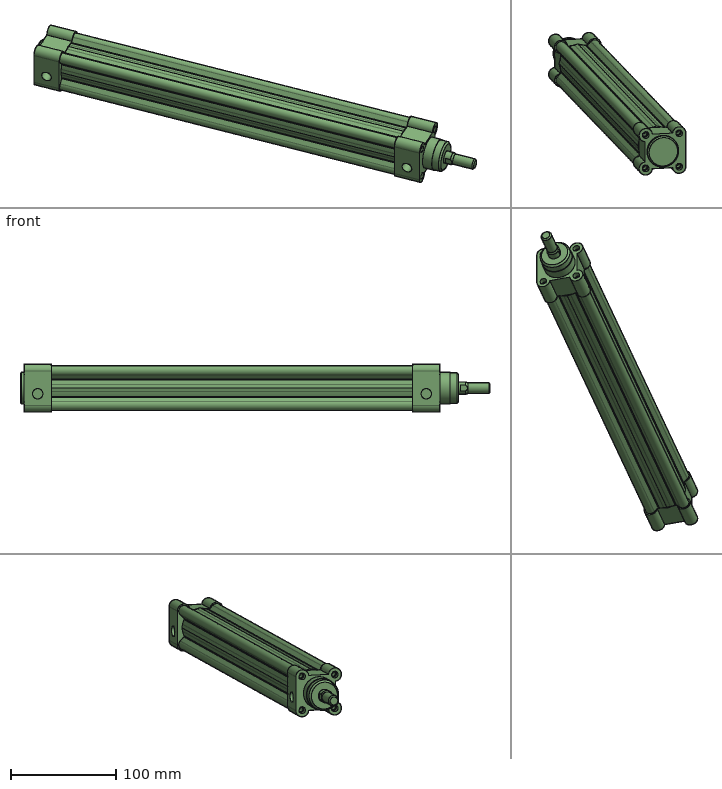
import cadquery as cq
import math


OVERALL_LENGTH = 446.0
BOSS_LENGTH = 3.5
CAP_LENGTH = 26.0
FRONT_CAP_X = 372.5
COLLAR_STEP_LENGTH = 9.5
COLLAR_LENGTH = 18.0
ROD_SHOULDER_X = 425.0
REAR_CAP_X = BOSS_LENGTH
TUBE_X = REAR_CAP_X + CAP_LENGTH
FRONT_FACE_X = FRONT_CAP_X + CAP_LENGTH

CAP_WIDTH = 45.5
LOBE_SPACING = 32.5
LOBE_CENTER = LOBE_SPACING / 2
LOBE_RADIUS = CAP_WIDTH / 2 - LOBE_CENTER
RECESS_HALF_WIDTH = 17.0
SCREW_HEAD_RADIUS = 3.0
SCREW_HEAD_DEPTH = 5.5
SCREW_HOLE_RADIUS = 2.2
SCREW_HOLE_DEPTH = 13.5
PORT_RADIUS = 5.0
PORT_DEPTH = 11.0
PORT_Z = -5.5

BOSS_RADIUS = 15.0
BOSS_CHAMFER = 1.5
COLLAR_RADIUS = 15.0
COLLAR_NOSE_RADIUS = 14.5
COLLAR_CHAMFER = 2.0

TUBE_WIDTH = 43.0
TUBE_LOBE_RADIUS = TUBE_WIDTH / 2 - LOBE_CENTER
TUBE_LOBE_DIAGONAL = TUBE_LOBE_RADIUS * math.sqrt(0.5)
RIDGE_HEIGHT = 18.5
RIDGE_SLOPE = math.radians(12.5)
RIDGE_FLAT_HALF_WIDTH = 3.35
RIDGE_FOOT_SLOPE = math.radians(22)
RIDGE_WIDTH = 15.5
RIDGE_HALF_WIDTH = RIDGE_WIDTH / 2

ROD_DIAMETER = 12.0
ROD_RADIUS = ROD_DIAMETER / 2
ROD_CHAMFER_LENGTH = 2.2
WRENCH_WIDTH = 10.5
FLAT_HALF_WIDTH = WRENCH_WIDTH / 2
FLAT_GAP = 2.0
FLAT_START_X = FRONT_FACE_X + COLLAR_LENGTH + FLAT_GAP
THREAD_DIAMETER = 10.3
THREAD_RADIUS = THREAD_DIAMETER / 2
THREAD_CHAMFER = 1.5


def corner_points(spacing):
    half = spacing / 2
    return [(y, z) for y in (-half, half) for z in (-half, half)]


def section_plane(x):
    """Plane across the axis: local x is Y, local y is Z, extrusion goes toward +X."""
    return cq.Workplane("YZ", origin=(x, 0, 0))


def cap_block(x):
    """Four round corner lobes, a recessed core and a flat face on the -Y side."""
    lobes = section_plane(x).pushPoints(corner_points(LOBE_SPACING)).circle(LOBE_RADIUS).extrude(CAP_LENGTH)
    core = section_plane(x).rect(2 * RECESS_HALF_WIDTH, 2 * RECESS_HALF_WIDTH).extrude(CAP_LENGTH)
    flat_side = (
        section_plane(x)
        .center(-(CAP_WIDTH - LOBE_RADIUS) / 2, 0)
        .rect(LOBE_RADIUS, LOBE_SPACING)
        .extrude(CAP_LENGTH)
    )
    return core.union(lobes).union(flat_side)


def cut_port(cap, x):
    """Blind air port in the middle of the flat -Y face."""
    port = (
        cq.Workplane("XZ", origin=(x + CAP_LENGTH / 2, -CAP_WIDTH / 2, PORT_Z))
        .circle(PORT_RADIUS)
        .extrude(-PORT_DEPTH)
    )
    return cap.cut(port)


def cut_screw_holes(cap, face_x, inward):
    """Stepped blind screw holes in the four lobes; inward is the X direction into the cap."""
    points = corner_points(LOBE_SPACING)
    steps = [(SCREW_HEAD_RADIUS, SCREW_HEAD_DEPTH), (SCREW_HOLE_RADIUS, SCREW_HOLE_DEPTH)]
    for radius, depth in steps:
        cap = cap.cut(section_plane(face_x).pushPoints(points).circle(radius).extrude(inward * depth))
    return cap


def make_rear_cap():
    boss = section_plane(0).circle(BOSS_RADIUS).extrude(BOSS_LENGTH).faces("<X").chamfer(BOSS_CHAMFER)
    cap = cut_port(cap_block(REAR_CAP_X), REAR_CAP_X).union(boss)
    return cut_screw_holes(cap, REAR_CAP_X, 1)


def make_front_cap():
    collar = section_plane(FRONT_FACE_X).circle(COLLAR_RADIUS).extrude(COLLAR_STEP_LENGTH)
    nose = (
        section_plane(FRONT_FACE_X)
        .circle(COLLAR_NOSE_RADIUS)
        .extrude(COLLAR_LENGTH)
        .faces(">X")
        .chamfer(COLLAR_CHAMFER)
    )
    rod_hole = section_plane(FRONT_CAP_X).circle(ROD_RADIUS).extrude(CAP_LENGTH + COLLAR_LENGTH)
    cap = cut_port(cap_block(FRONT_CAP_X), FRONT_CAP_X).union(collar).union(nose)
    return cut_screw_holes(cap, FRONT_FACE_X, -1).cut(rod_hole)


def ridge_arc_point(slope):
    """Point (across, outward) on the rounded ridge side where it has the given slope."""
    arc_width = RIDGE_HALF_WIDTH - RIDGE_FLAT_HALF_WIDTH
    arc_radius = arc_width / (math.sin(RIDGE_FOOT_SLOPE) - math.sin(RIDGE_SLOPE))
    arc_start_height = RIDGE_HEIGHT - RIDGE_FLAT_HALF_WIDTH * math.tan(RIDGE_SLOPE)
    across = RIDGE_FLAT_HALF_WIDTH + arc_radius * (math.sin(slope) - math.sin(RIDGE_SLOPE))
    outward = arc_start_height + arc_radius * (math.cos(slope) - math.cos(RIDGE_SLOPE))
    return across, outward


def turned(point, quarter):
    """The point turned clockwise about the axis by a number of quarter turns."""
    y, z = point
    for _ in range(quarter):
        y, z = z, -y
    return y, z


def make_tube():
    """Four equal sides, each a shallow ridge between 45-degree flanks, joined by round lobes."""
    flat_end = ridge_arc_point(RIDGE_SLOPE)
    arc_middle = ridge_arc_point((RIDGE_SLOPE + RIDGE_FOOT_SLOPE) / 2)
    foot = ridge_arc_point(RIDGE_FOOT_SLOPE)
    tangent = (LOBE_CENTER - TUBE_LOBE_DIAGONAL, LOBE_CENTER + TUBE_LOBE_DIAGONAL)
    lobe_tip = (LOBE_CENTER + TUBE_LOBE_DIAGONAL, LOBE_CENTER + TUBE_LOBE_DIAGONAL)
    valley = (tangent[0] - (tangent[1] - foot[1]), foot[1])

    outline = section_plane(TUBE_X).moveTo(0, RIDGE_HEIGHT)
    for quarter in range(4):
        outline = (
            outline.lineTo(*turned(flat_end, quarter))
            .threePointArc(turned(arc_middle, quarter), turned(foot, quarter))
            .lineTo(*turned(valley, quarter))
            .lineTo(*turned(tangent, quarter))
            .threePointArc(turned(lobe_tip, quarter), turned(tangent[::-1], quarter))
            .lineTo(*turned(valley[::-1], quarter))
            .lineTo(*turned(foot[::-1], quarter))
            .threePointArc(turned(arc_middle[::-1], quarter), turned(flat_end[::-1], quarter))
            .lineTo(*turned((RIDGE_HEIGHT, 0), quarter))
        )
    return outline.close().extrude(FRONT_CAP_X - TUBE_X)


def make_rod():
    """Rod from the tube face through the front cap, with wrench flats and a threaded end."""
    shaft = (
        section_plane(FRONT_CAP_X)
        .circle(ROD_RADIUS)
        .extrude(ROD_SHOULDER_X - FRONT_CAP_X)
        .faces(">X")
        .chamfer(ROD_CHAMFER_LENGTH, ROD_RADIUS - THREAD_RADIUS)
    )
    flat_length = ROD_SHOULDER_X - FLAT_START_X
    for side in (-1, 1):
        waste = cq.Workplane().box(flat_length, ROD_RADIUS, 2 * ROD_RADIUS).translate(
            (FLAT_START_X + flat_length / 2, side * (FLAT_HALF_WIDTH + ROD_RADIUS / 2), 0)
        )
        shaft = shaft.cut(waste)
    thread = (
        section_plane(ROD_SHOULDER_X)
        .circle(THREAD_RADIUS)
        .extrude(OVERALL_LENGTH - ROD_SHOULDER_X)
        .faces(">X")
        .chamfer(THREAD_CHAMFER)
    )
    return shaft.union(thread)


rear_cap = make_rear_cap()
tube = make_tube()
front_cap = make_front_cap()
rod = make_rod()

result = cq.Compound.makeCompound([rear_cap.val(), tube.val(), front_cap.val(), rod.val()])